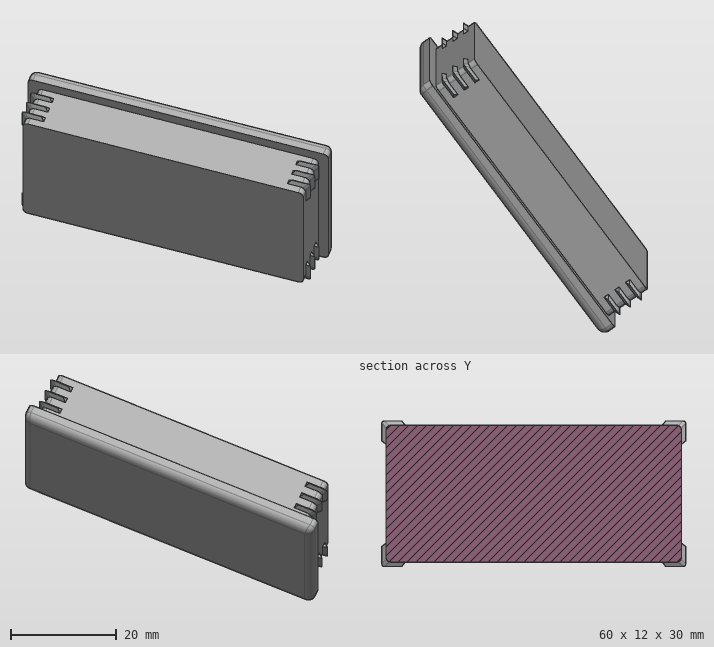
import cadquery as cq

flange_length = 60.0
flange_height = 30.0
flange_thickness = 3.0
flange_rim_radius = 1.5
corner_radius = 1.0

flange_overhang = 2.0
plug_depth = 9.0
plug_length = flange_length - 2 * flange_overhang
plug_height = flange_height - 2 * flange_overhang

fin_projection = 0.8
fin_base_width = 1.0
fin_corner_radius = 0.5
fin_embedding = 0.4
fin_crest_reach = 3.0
fin_base_reach = 3.65
fin_count = 3
fin_pitch = 2.5
first_fin_offset = 2.0


def rounded_block(length, height, y_start, y_end):
    """Block between two Y positions, with its four edges along Y rounded."""
    block = cq.Workplane("XY").box(length, y_end - y_start, height)
    block = block.edges("|Y").fillet(corner_radius)
    return block.translate((0, (y_start + y_end) / 2, 0))


def make_flange():
    """Cover plate with a rounded outer rim."""
    flange = rounded_block(flange_length, flange_height, 0, flange_thickness)
    return flange.faces(">Y").edges().fillet(flange_rim_radius)


def ring_outline(offset, y_shift):
    """Rounded rectangle standing off the plug sides, moved toward -Y by y_shift."""
    outline = cq.Sketch().rect(plug_length + 2 * offset, plug_height + 2 * offset)
    outline = outline.vertices().fillet(fin_corner_radius)
    return outline.moved(cq.Location(cq.Vector(0, 0, y_shift)))


def make_ridge_ring():
    """Closed V-section ridge around the plug, with its crest in the plane Y = 0."""
    flank_slope = fin_base_width / 2 / fin_projection
    half_width = flank_slope * (fin_projection + fin_embedding)
    root = ring_outline(-fin_embedding, half_width)
    crest = ring_outline(fin_projection, 0)
    flank = cq.Workplane("XZ").placeSketch(root, crest).loft(ruled=True)
    return flank.union(flank.mirror("XZ"))


def make_gap(span, side_distance):
    """Prism that clears the ridge between the corners of two opposite sides, sloping the fin ends."""
    base_half = span / 2 - fin_base_reach
    crest_half = span / 2 - fin_crest_reach
    end_run = (crest_half - base_half) / fin_projection
    top_half = crest_half + end_run * fin_embedding
    bottom_half = base_half - end_run * fin_embedding
    top = side_distance + fin_projection + fin_embedding
    bottom = side_distance - fin_embedding
    outline = [(-bottom_half, bottom), (bottom_half, bottom), (top_half, top), (-top_half, top)]
    gap = cq.Workplane("XZ").polyline(outline).close().extrude(fin_pitch / 2, both=True)
    return gap.union(gap.mirror("XY"))


def make_fin_set():
    """Four L-shaped fins, one around each plug corner, with crests in the plane Y = 0."""
    long_side_gaps = make_gap(plug_length, plug_height / 2)
    short_side_gaps = make_gap(plug_height, plug_length / 2).rotate((0, 0, 0), (0, 1, 0), 90)
    return make_ridge_ring().cut(long_side_gaps).cut(short_side_gaps)


result = make_flange().union(rounded_block(plug_length, plug_height, -plug_depth, 0))
fin_set = make_fin_set()
for index in range(fin_count):
    fin_y = -first_fin_offset - index * fin_pitch
    result = result.union(fin_set.translate((0, fin_y, 0)))